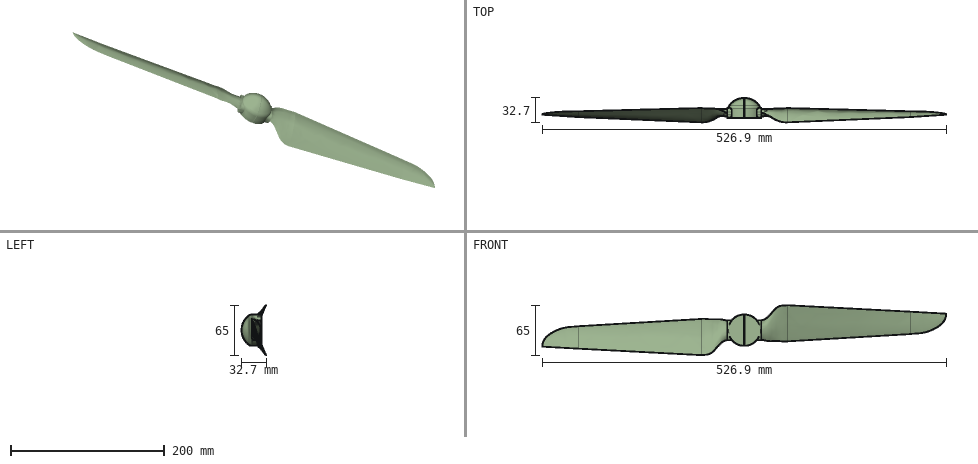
import cadquery as cq
import math


half_gap = 0.25

hub_radius = 20.5
hub_cylinder_end = 12.5
cap_radius = 19.0
cap_start = 17.0
hub_depth = 26.5

collar_reach = 21.5
collar_depth = 13.0
collar_width = 26.5
collar_corner = 5.0

blade_end = 263.5 - half_gap
buried_root = 16.0
shoulder_station = 56.0
tip_station = 216.0

shank_sections = [
    (buried_root, (6.5, 13.0), (6.5, -13.0), 11.5, 0.0),
    (22.0, (7.0, 13.0), (7.0, -12.5), 10.5, 0.0),
    (30.0, (3.5, 17.0), (10.0, -14.0), 8.0, 0.5),
    (42.0, (-3.0, 29.5), (12.5, -14.0), 4.0, 1.5),
    (49.0, (-5.5, 32.0), (12.5, -15.0), 3.5, 2.0),
    (shoulder_station, (-6.0, 32.5), (13.0, -15.0), 3.0, 2.5),
]

tip_tail = (1.0, 24.0)
tip_lead = (9.0, -5.5)
tip_thickness = 2.0
tip_camber = 0.5

end_corner = (4.0, 21.5)
end_thickness = 0.5
tip_section_count = 6
last_tip_angle = 88.0


def between(start, end, fraction):
    """Point part of the way from start to end."""
    return tuple(a + (b - a) * fraction for a, b in zip(start, end))


def section(station, tail, lead, thickness, camber):
    """Blade section at X = station: two arcs meeting at the tail and the lead."""
    chord_y = lead[0] - tail[0]
    chord_z = lead[1] - tail[1]
    chord = math.hypot(chord_y, chord_z)
    middle = between(tail, lead, 0.5)

    def bulge(offset):
        return (middle[0] - chord_z / chord * offset, middle[1] + chord_y / chord * offset)

    return (
        cq.Workplane("YZ", origin=(station, 0, 0))
        .moveTo(*tail)
        .threePointArc(bulge(camber + thickness / 2), lead)
        .threePointArc(bulge(camber - thickness / 2), tail)
        .close()
        .val()
    )


def tip_sections():
    """Sections whose lead follows a quarter ellipse up to the trailing corner."""
    sections = []
    for index in range(tip_section_count):
        angle = math.radians(last_tip_angle * index / (tip_section_count - 1))
        along = math.sin(angle)
        closing = 1 - math.cos(angle)
        station = tip_station + (blade_end - tip_station) * along
        tail = between(tip_tail, end_corner, along)
        lead = between(tip_lead, end_corner, closing)
        thickness = end_thickness + (tip_thickness - end_thickness) * (1 - closing)
        camber = tip_camber * (1 - closing)
        sections.append(section(station, tail, lead, thickness, camber))
    return sections


def blade():
    shank = [section(*values) for values in shank_sections]
    tip = tip_sections()
    blade_parts = [
        cq.Solid.makeLoft(shank),
        cq.Solid.makeLoft([shank[-1], tip[0]], True),
        cq.Solid.makeLoft(tip),
    ]
    joined = cq.Workplane(blade_parts[0])
    for blade_part in blade_parts[1:]:
        joined = joined.union(cq.Workplane(blade_part))
    return joined


def hub_half():
    cap_height = hub_depth - cap_start
    sphere_radius = (cap_radius**2 + cap_height**2) / (2 * cap_height)
    half_angle = math.asin(cap_radius / sphere_radius) / 2
    cap_middle = (
        sphere_radius * math.sin(half_angle),
        hub_depth - sphere_radius * (1 - math.cos(half_angle)),
    )
    return (
        cq.Workplane("XY")
        .lineTo(hub_radius, 0)
        .lineTo(hub_radius, hub_cylinder_end)
        .tangentArcPoint((cap_radius, cap_start), relative=False)
        .threePointArc(cap_middle, (0, hub_depth))
        .close()
        .revolve(180, (0, 0, 0), (0, 1, 0))
        .rotate((0, 0, 0), (0, 1, 0), -90)
    )


def collar():
    return (
        cq.Workplane("XY")
        .box(collar_reach, collar_depth, collar_width, centered=(False, False, True))
        .edges("|X")
        .fillet(collar_corner)
    )


def propeller_half():
    return hub_half().union(collar()).union(blade()).translate((half_gap, 0, 0))


half = propeller_half()
propeller_halves = []
for turn in (0, 180):
    propeller_halves.append(half.rotate((0, 0, 0), (0, 1, 0), turn).solids().val())

result = cq.Compound.makeCompound(propeller_halves)